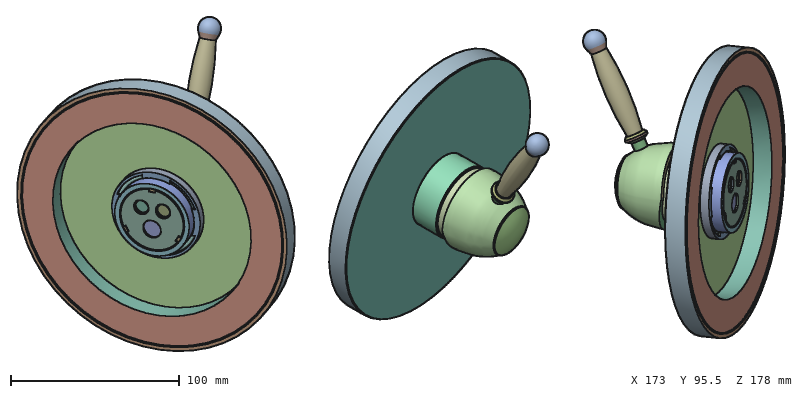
import cadquery as cq
import math


PLATE_RADIUS = 86.5
PLATE_DEPTH = 13.0
PLATE_BACK_CHAMFER = 0.5
RECESS_RADIUS = 63.5
RECESS_DEPTH = 11.7
SEAL_GROOVE_OUTER_RADIUS = 84.0
SEAL_GROOVE_INNER_RADIUS = 83.3
SEAL_GROOVE_DEPTH = 0.5
BOSS_RADIUS = 28.3
BOSS_FACE_Y = 6.2
BORE_CLEARANCE = 0.5
TAB_WIDTH = 17.8
TAB_THICKNESS = 1.0

SHANK_RADIUS = 23.8
BEAD_SECTION_RADIUS = 1.5
BEAD_EMBED = 0.2
BEAD_CENTRE_RADIUS = SHANK_RADIUS + BEAD_SECTION_RADIUS - BEAD_EMBED
BEAD_CENTRE_Y = BOSS_FACE_Y + TAB_THICKNESS + BEAD_SECTION_RADIUS
GLAND_RADIUS = BEAD_CENTRE_RADIUS + BEAD_SECTION_RADIUS
GLAND_END_Y = BEAD_CENTRE_Y + BEAD_SECTION_RADIUS

FACE_GROOVE_OUTER_RADIUS = 20.6
FACE_GROOVE_INNER_RADIUS = 20.1
FACE_GROOVE_DEPTH = 0.5
NOTCH_WIDTH = 4.0
NOTCH_INNER_RADIUS = 18.5
NOTCH_ANGLES = (90, 210, 330)
INLET_RIM_RADIUS = 4.6
INLET_RIM_DEPTH = 1.2
INLET_RADIUS = 4.1
INLET_OFFSET = 7.0
INLET_DEPTH = 1.8
OUTLET_RADIUS = 5.7
OUTLET_Z = -6.2
OUTLET_DEPTH = 1.2

BARREL_RADIUS = 24.0
BARREL_END_Y = 31.1
BARREL_CHAMFER = 0.5
NECK_RADIUS = 22.8

DOME_BASE_Y = 37.0
DOME_BASE_RADIUS = 25.8
DOME_MIDDLE_Y = 55.9
DOME_MIDDLE_RADIUS = 23.1
DOME_END_Y = 68.2
DOME_END_RADIUS = 16.4
CAP_RADIUS = 16.0
CAP_BAND_WIDTH = 0.9
CAP_HEIGHT = 4.8
DOME_RELIEF_ANGLE = 11.3

LEVER_TILT = 25.0
KNOB_RADIUS = 7.0
KNOB_CENTRE_Y = 88.5
KNOB_CENTRE_Z = 84.5
KNOB_BALL_END = 2.7
GRIP_START = 6.2
GRIP_MIDDLE = 33.5
GRIP_END = 59.6
GRIP_END_RADIUS = 5.0
GRIP_MIDDLE_RADIUS = 7.0
COLLAR_SHOULDER_RADIUS = 5.7
COLLAR_RADIUS = 7.1
COLLAR_RIM_START = 61.2
COLLAR_RIM_END = 62.6
COLLAR_END = 64.5
STEM_RADIUS = 4.3
STEM_END = 74.7


def disc(radius, start_y, end_y, x=0.0, z=0.0):
    """Cylinder along Y between two Y stations."""
    return cq.Workplane("XY").add(
        cq.Solid.makeCylinder(radius, end_y - start_y, cq.Vector(x, start_y, z), cq.Vector(0, 1, 0))
    )


def ring(outer_radius, inner_radius, start_y, end_y):
    """Flat ring about the Y axis."""
    return disc(outer_radius, start_y, end_y).cut(disc(inner_radius, start_y, end_y))


def make_plate():
    """Dished cover plate with a hollow boss and four retaining tabs."""
    plate = disc(PLATE_RADIUS, 0, PLATE_DEPTH).faces(">Y").chamfer(PLATE_BACK_CHAMFER)
    plate = plate.cut(disc(RECESS_RADIUS, 0, RECESS_DEPTH))
    plate = plate.cut(ring(SEAL_GROOVE_OUTER_RADIUS, SEAL_GROOVE_INNER_RADIUS, 0, SEAL_GROOVE_DEPTH))
    plate = plate.union(disc(BOSS_RADIUS, BOSS_FACE_Y, PLATE_DEPTH))
    plate = plate.cut(disc(GLAND_RADIUS, BOSS_FACE_Y, GLAND_END_Y))
    plate = plate.cut(disc(SHANK_RADIUS, BOSS_FACE_Y, PLATE_DEPTH))
    return plate.union(make_tabs())


def make_tabs():
    """Four tabs on the X and Z axes that reach inward over the gland."""
    tab_end_y = BOSS_FACE_Y + TAB_THICKNESS
    tab_ring = ring(BOSS_RADIUS, SHANK_RADIUS + BORE_CLEARANCE, BOSS_FACE_Y, tab_end_y)
    across = cq.Workplane("XY").box(2 * BOSS_RADIUS, 2 * tab_end_y, TAB_WIDTH)
    upright = cq.Workplane("XY").box(TAB_WIDTH, 2 * tab_end_y, 2 * BOSS_RADIUS)
    return tab_ring.intersect(across.union(upright))


def make_notch():
    """Flat notch on +X that widens the face groove inward."""
    return (
        cq.Workplane("XY")
        .moveTo(NOTCH_INNER_RADIUS, 0)
        .rect(FACE_GROOVE_INNER_RADIUS - NOTCH_INNER_RADIUS, FACE_GROOVE_DEPTH, centered=False)
        .extrude(NOTCH_WIDTH / 2, both=True)
    )


def make_shank():
    """Shank with the sealing bead and the connection face."""
    shank = disc(SHANK_RADIUS, 0, PLATE_DEPTH)
    bead = cq.Solid.makeTorus(
        BEAD_CENTRE_RADIUS, BEAD_SECTION_RADIUS, cq.Vector(0, BEAD_CENTRE_Y, 0), cq.Vector(0, 1, 0)
    )
    shank = shank.union(cq.Workplane("XY").add(bead))
    shank = shank.cut(ring(FACE_GROOVE_OUTER_RADIUS, FACE_GROOVE_INNER_RADIUS, 0, FACE_GROOVE_DEPTH))
    for angle in NOTCH_ANGLES:
        shank = shank.cut(make_notch().rotate((0, 0, 0), (0, 1, 0), -angle))
    for side in (-1, 1):
        inlet_x = side * INLET_OFFSET
        shank = shank.cut(disc(INLET_RIM_RADIUS, 0, INLET_RIM_DEPTH, inlet_x, INLET_OFFSET))
        shank = shank.cut(disc(INLET_RADIUS, 0, INLET_DEPTH, inlet_x, INLET_OFFSET))
    return shank.cut(disc(OUTLET_RADIUS, 0, OUTLET_DEPTH, 0, OUTLET_Z))


def make_barrel():
    """Barrel seated on the back of the plate, and the ball neck that enters the dome."""
    neck_middle = NECK_RADIUS * math.sqrt(0.5)
    return (
        cq.Workplane("XY")
        .moveTo(0, PLATE_DEPTH)
        .lineTo(BARREL_RADIUS, PLATE_DEPTH)
        .lineTo(BARREL_RADIUS, BARREL_END_Y - BARREL_CHAMFER)
        .lineTo(BARREL_RADIUS - BARREL_CHAMFER, BARREL_END_Y)
        .lineTo(NECK_RADIUS, BARREL_END_Y)
        .threePointArc((neck_middle, BARREL_END_Y + neck_middle), (0, BARREL_END_Y + NECK_RADIUS))
        .close()
        .revolve(360, (0, 0, 0), (0, 1, 0))
    )


def make_dome():
    """Dome and cap turned about Y, with the lower half of the base cut at a slant."""
    band_end_y = DOME_END_Y + CAP_BAND_WIDTH
    cap_sphere_radius = (CAP_RADIUS**2 + CAP_HEIGHT**2) / (2 * CAP_HEIGHT)
    cap_sphere_y = band_end_y + CAP_HEIGHT - cap_sphere_radius
    half_angle = math.asin(CAP_RADIUS / cap_sphere_radius) / 2
    cap_middle = (
        cap_sphere_radius * math.sin(half_angle),
        cap_sphere_y + cap_sphere_radius * math.cos(half_angle),
    )
    dome = (
        cq.Workplane("XY")
        .moveTo(0, DOME_BASE_Y)
        .lineTo(DOME_BASE_RADIUS, DOME_BASE_Y)
        .threePointArc((DOME_MIDDLE_RADIUS, DOME_MIDDLE_Y), (DOME_END_RADIUS, DOME_END_Y))
        .lineTo(CAP_RADIUS, DOME_END_Y)
        .lineTo(CAP_RADIUS, band_end_y)
        .threePointArc(cap_middle, (0, band_end_y + CAP_HEIGHT))
        .close()
        .revolve(360, (0, 0, 0), (0, 1, 0))
    )
    relief_drop = 2 * DOME_BASE_RADIUS
    relief = (
        cq.Workplane("YZ")
        .moveTo(DOME_BASE_Y, 0)
        .lineTo(DOME_BASE_Y, -relief_drop)
        .lineTo(DOME_BASE_Y + relief_drop * math.tan(math.radians(DOME_RELIEF_ANGLE)), -relief_drop)
        .close()
        .extrude(DOME_BASE_RADIUS, both=True)
    )
    return dome.cut(relief)


def make_lever():
    """Turned lever: ball knob, bulged grip, collar and stem."""
    ball_end_radius = math.sqrt(KNOB_RADIUS**2 - KNOB_BALL_END**2)
    lever = (
        cq.Workplane("XZ")
        .moveTo(0, KNOB_RADIUS)
        .threePointArc((KNOB_RADIUS, 0), (ball_end_radius, -KNOB_BALL_END))
        .lineTo(GRIP_END_RADIUS, -GRIP_START)
        .threePointArc((GRIP_MIDDLE_RADIUS, -GRIP_MIDDLE), (GRIP_END_RADIUS, -GRIP_END))
        .lineTo(COLLAR_SHOULDER_RADIUS, -GRIP_END)
        .lineTo(COLLAR_RADIUS, -COLLAR_RIM_START)
        .lineTo(COLLAR_RADIUS, -COLLAR_RIM_END)
        .lineTo(STEM_RADIUS, -COLLAR_END)
        .lineTo(STEM_RADIUS, -STEM_END)
        .lineTo(0, -STEM_END)
        .close()
        .revolve(360, (0, 0, 0), (0, 1, 0))
    )
    tilted = lever.rotate((0, 0, 0), (1, 0, 0), -LEVER_TILT)
    return tilted.translate((0, KNOB_CENTRE_Y, KNOB_CENTRE_Z))


def make_mixer():
    """Mixer as one solid, from the connection face to the knob."""
    return make_shank().union(make_barrel()).union(make_dome()).union(make_lever())


plate = make_plate()
mixer = make_mixer()
result = cq.Compound.makeCompound([plate.solids().val(), mixer.solids().val()])